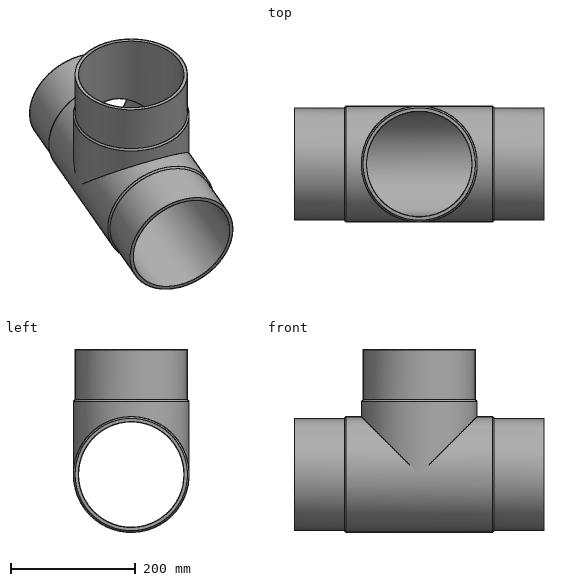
import cadquery as cq

run_length = 400.0
branch_height = run_length / 2
bore_diameter = 169.0
spigot_diameter = 180.0
body_diameter = 185.5
spigot_length = 80.0

shoulder_step = (body_diameter - spigot_diameter) / 2
body_length = run_length - 2 * spigot_length
collar_height = branch_height - spigot_length


def run_cylinder(diameter, length):
    """Cylinder along X, centred on the origin."""
    return cq.Workplane("YZ", origin=(-length / 2, 0, 0)).circle(diameter / 2).extrude(length)


def branch_cylinder(diameter, height):
    """Cylinder rising along Z from the run axis."""
    return cq.Workplane("XY").circle(diameter / 2).extrude(height)


run_body = run_cylinder(body_diameter, body_length)
run_body = run_body.faces("<X or >X").edges().chamfer(shoulder_step)
branch_body = branch_cylinder(body_diameter, collar_height)
branch_body = branch_body.faces(">Z").edges().chamfer(shoulder_step)

run = run_body.union(run_cylinder(spigot_diameter, run_length))
branch = branch_body.union(branch_cylinder(spigot_diameter, branch_height))

bores = run_cylinder(bore_diameter, run_length).union(branch_cylinder(bore_diameter, branch_height))

result = run.union(branch).cut(bores)